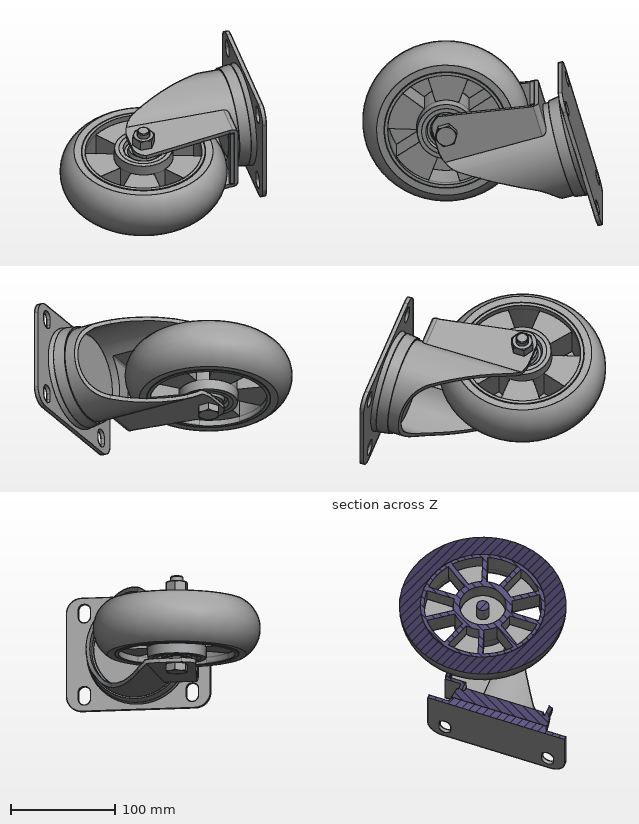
import cadquery as cq
import math


PLATE_LENGTH = 140.0
PLATE_WIDTH = 110.0
PLATE_THICKNESS = 4.0
PLATE_CORNER_RADIUS = 15.0
SLOT_SPACING_X = 105.0
SLOT_SPACING_Z = 80.0
SLOT_WIDTH = 12.0
SLOT_LENGTH = 18.0
FLARE_END_DEPTH = 9.2
FLARE_BASE_RADIUS = 50.1
FLARE_END_RADIUS = 47.8

WHEEL_RADIUS = 79.97
WHEEL_OFFSET = 208 - PLATE_LENGTH / 2 - WHEEL_RADIUS
AXLE_DEPTH = 199.0 - WHEEL_RADIUS
TYRE_HALF_WIDTH = 25.0
TYRE_CROWN_RADIUS = 30.0

RIM_RADIUS = 119.0 / 2
RIM_CHAMFER = 0.52
RIM_INNER_RADIUS = 56.0
HUB_FACE_RADIUS = 27.7
HUB_BASE_RADIUS = 28.5
HUB_HALF_WIDTH = 29.0
WEB_HALF_WIDTH = 19.0
WEB_WALL = 5.0
POCKETS_PER_SIDE = 5
POCKET_PITCH = 360 / POCKETS_PER_SIDE
FIRST_POCKET_ANGLE = 18
HUB_BORE_DIAMETER = 44.0

BEARING_DIAMETER = 47.0
BEARING_WIDTH = 14.0
GROOVE_DEPTH = 4.0
GROOVE_OUTER_FACE_RADIUS = 38.9 / 2
GROOVE_OUTER_FLOOR_RADIUS = 36.2 / 2
GROOVE_INNER_FACE_RADIUS = 28.0 / 2
GROOVE_INNER_FLOOR_RADIUS = 30.8 / 2
COLLAR_DIAMETER = 21.0

SHEET = 4.0
LEG_INNER_Z = 31.0
LEG_OUTER_Z = LEG_INNER_Z + SHEET
CUP_RADIUS = 46.2
CUP_INNER_RADIUS = CUP_RADIUS - SHEET
HEAD_TOP_RADIUS = 49.3
HEAD_END_RADIUS = 47.6
HEAD_END_DEPTH = 20.2
WEB_TOP_DEPTH = 26.0
WEB_UNDERSIDE_DEPTH = WEB_TOP_DEPTH + SHEET
OUTER_BEND_RADIUS = 5.5
INNER_BEND_RADIUS = OUTER_BEND_RADIUS - SHEET
BOSS_DIAMETER = 80.0
BOSS_END_DEPTH = 23.3
WEB_END_X = 62.0
LIP_END_X = 63.0
LIP_END_DEPTH = 34.1
BACK_TOP_DEPTH = 30.5
SLOPE_TOP = (-17.5, -53.9)
SLOPE_ANGLE = 60
SLOPE_LENGTH = 73.8
LEG_BOTTOM_DEPTH = AXLE_DEPTH + 12.3
LEG_BOTTOM_END_X = 64.9
LEG_TIP = (77.0, -121.3)
LEG_TIP_MID = (73.0, -127.3)

BOLT_DIAMETER = 12.0
BOLT_TIP_DIAMETER = 10.2
BOLT_END_Z = 50.5
HEX_ACROSS_FLATS = 19.0
HEX_CHAMFER_ANGLE = 30
NUT_HEIGHT = 10.0
BOLT_HEAD_HEIGHT = 7.5


def disc_along_z(radius, z_start, z_end):
    """Cylinder on the wheel axle between two Z levels."""
    base = cq.Workplane("XY").workplane(offset=z_start).center(WHEEL_OFFSET, -AXLE_DEPTH)
    return base.circle(radius).extrude(z_end - z_start)


def turned_on_axle(half_section):
    """Revolve an (r, z) half section, drawn in the XZ plane, about the wheel axle."""
    return half_section.revolve(360, (0, 0, 0), (0, 1, 0)).translate((WHEEL_OFFSET, -AXLE_DEPTH, 0))


def make_plate():
    plate = (
        cq.Workplane("XZ")
        .rect(PLATE_LENGTH, PLATE_WIDTH)
        .extrude(PLATE_THICKNESS)
        .edges("|Y")
        .fillet(PLATE_CORNER_RADIUS)
    )
    slots = (
        cq.Workplane("XZ")
        .rect(SLOT_SPACING_X, SLOT_SPACING_Z, forConstruction=True)
        .vertices()
        .slot2D(SLOT_LENGTH, SLOT_WIDTH, 90)
        .extrude(PLATE_THICKNESS)
    )
    flare = (
        cq.Workplane("XY")
        .moveTo(0, -PLATE_THICKNESS)
        .lineTo(FLARE_BASE_RADIUS, -PLATE_THICKNESS)
        .lineTo(FLARE_END_RADIUS, -FLARE_END_DEPTH)
        .lineTo(0, -FLARE_END_DEPTH)
        .close()
        .revolve(360, (0, 0, 0), (0, 1, 0))
    )
    return plate.cut(slots).union(flare)


def fork_side_outline():
    """Side outline of cup and legs in the XY plane, extruded over the whole width."""
    slope_run = SLOPE_LENGTH * math.cos(math.radians(SLOPE_ANGLE))
    slope_drop = SLOPE_LENGTH * math.sin(math.radians(SLOPE_ANGLE))
    slope_end = (SLOPE_TOP[0] + slope_run, SLOPE_TOP[1] - slope_drop)
    heel_height = LEG_BOTTOM_DEPTH + slope_end[1]
    heel_start_x = slope_end[0] + heel_height / math.tan(math.radians(SLOPE_ANGLE / 2))
    return (
        cq.Workplane("XY")
        .moveTo(LEG_BOTTOM_END_X, -LEG_BOTTOM_DEPTH)
        .lineTo(heel_start_x, -LEG_BOTTOM_DEPTH)
        .tangentArcPoint(slope_end, relative=False)
        .lineTo(*SLOPE_TOP)
        .tangentArcPoint((-CUP_RADIUS, -BACK_TOP_DEPTH), relative=False)
        .lineTo(-CUP_RADIUS, -HEAD_END_DEPTH)
        .lineTo(WEB_END_X, -HEAD_END_DEPTH)
        .lineTo(WEB_END_X, -LIP_END_DEPTH)
        .lineTo(*LEG_TIP)
        .threePointArc(LEG_TIP_MID, (LEG_BOTTOM_END_X, -LEG_BOTTOM_DEPTH))
        .close()
        .extrude(CUP_RADIUS, both=True)
    )


def fork_section(cup_radius, half_width, top_depth):
    """Round back and straight legs, from a top level down past the leg ends."""
    length = LEG_BOTTOM_DEPTH + 2 - top_depth
    top = cq.Workplane("XZ").workplane(offset=top_depth)
    cup = top.circle(cup_radius).extrude(length)
    legs = top.center(LEG_TIP[0] / 2, 0).rect(LEG_TIP[0] + 4.2, 2 * half_width).extrude(length)
    return cup, legs


def make_fork():
    _, legs = fork_section(CUP_RADIUS, LEG_OUTER_Z, WEB_TOP_DEPTH)
    cup, _ = fork_section(CUP_RADIUS, LEG_OUTER_Z, HEAD_END_DEPTH)
    bent_legs = legs.faces(">Y").edges("|X").fillet(OUTER_BEND_RADIUS)
    inner_cup, _ = fork_section(CUP_INNER_RADIUS, LEG_INNER_Z, HEAD_END_DEPTH)
    _, inner_legs = fork_section(CUP_INNER_RADIUS, LEG_INNER_Z, WEB_UNDERSIDE_DEPTH)
    bent_gap = inner_legs.faces(">Y").edges("|X").fillet(INNER_BEND_RADIUS)
    body = cup.union(bent_legs).intersect(fork_side_outline()).cut(inner_cup).cut(bent_gap)

    head = (
        cq.Workplane("XY")
        .moveTo(0, -FLARE_END_DEPTH)
        .lineTo(HEAD_TOP_RADIUS, -FLARE_END_DEPTH)
        .lineTo(HEAD_END_RADIUS, -HEAD_END_DEPTH)
        .lineTo(0, -HEAD_END_DEPTH)
        .close()
        .revolve(360, (0, 0, 0), (0, 1, 0))
    )
    boss = cq.Workplane("XZ").workplane(offset=HEAD_END_DEPTH)
    boss = boss.circle(BOSS_DIAMETER / 2).extrude(BOSS_END_DEPTH - HEAD_END_DEPTH)
    lip_height = LIP_END_DEPTH - WEB_UNDERSIDE_DEPTH
    lip = cq.Workplane("XY").box(SHEET, lip_height, 2 * LEG_INNER_Z)
    lip = lip.translate((LIP_END_X - SHEET / 2, -WEB_UNDERSIDE_DEPTH - lip_height / 2, 0))

    axle_hole = disc_along_z(BOLT_DIAMETER / 2, -LEG_OUTER_Z, LEG_OUTER_Z)
    return body.union(head).union(boss).union(lip).cut(axle_hole)


def make_tyre():
    edge_drop = TYRE_CROWN_RADIUS - math.sqrt(TYRE_CROWN_RADIUS**2 - TYRE_HALF_WIDTH**2)
    edge_radius = WHEEL_RADIUS - edge_drop
    section = (
        cq.Workplane("XZ")
        .moveTo(RIM_RADIUS, -TYRE_HALF_WIDTH)
        .lineTo(edge_radius, -TYRE_HALF_WIDTH)
        .threePointArc((WHEEL_RADIUS, 0), (edge_radius, TYRE_HALF_WIDTH))
        .lineTo(RIM_RADIUS, TYRE_HALF_WIDTH)
        .close()
    )
    return turned_on_axle(section)


def web_pocket(mid_angle):
    """Sector pocket open to +Z, leaving half a web wall along each of its radial sides."""
    half_angle = math.radians(POCKET_PITCH / 4)
    apex = WEB_WALL / 2 / math.sin(half_angle)
    reach = RIM_INNER_RADIUS * 2
    half_opening = (reach - apex) * math.tan(half_angle)
    floor = cq.Workplane("XY").workplane(offset=WEB_WALL - WEB_HALF_WIDTH)
    wedge = (
        floor.polyline([(apex, 0), (reach, -half_opening), (reach, half_opening)])
        .close()
        .extrude(2 * WEB_HALF_WIDTH)
        .rotate((0, 0, 0), (0, 0, 1), mid_angle)
    )
    ring = floor.circle(RIM_INNER_RADIUS).circle(HUB_BASE_RADIUS).extrude(2 * WEB_HALF_WIDTH)
    return wedge.intersect(ring).translate((WHEEL_OFFSET, -AXLE_DEPTH, 0))


def make_core():
    section = (
        cq.Workplane("XZ")
        .moveTo(0, 0)
        .lineTo(RIM_RADIUS, 0)
        .lineTo(RIM_RADIUS, TYRE_HALF_WIDTH - RIM_CHAMFER)
        .lineTo(RIM_RADIUS - RIM_CHAMFER, TYRE_HALF_WIDTH)
        .lineTo(RIM_INNER_RADIUS, TYRE_HALF_WIDTH)
        .lineTo(RIM_INNER_RADIUS, WEB_HALF_WIDTH)
        .lineTo(HUB_BASE_RADIUS, WEB_HALF_WIDTH)
        .lineTo(HUB_FACE_RADIUS, HUB_HALF_WIDTH)
        .lineTo(0, HUB_HALF_WIDTH)
        .close()
    )
    upper_half = turned_on_axle(section)
    core = upper_half.union(upper_half.mirror("XY"))

    for i in range(POCKETS_PER_SIDE):
        upper_angle = FIRST_POCKET_ANGLE + i * POCKET_PITCH
        core = core.cut(web_pocket(upper_angle))
        core = core.cut(web_pocket(upper_angle + POCKET_PITCH / 2).mirror("XY"))

    core = core.cut(disc_along_z(HUB_BORE_DIAMETER / 2, -HUB_HALF_WIDTH, HUB_HALF_WIDTH))
    seat_floor = HUB_HALF_WIDTH - BEARING_WIDTH
    for z_start, z_end in ((seat_floor, HUB_HALF_WIDTH), (-HUB_HALF_WIDTH, -seat_floor)):
        core = core.cut(disc_along_z(BEARING_DIAMETER / 2, z_start, z_end))
    return core


def make_bearing(side):
    """Bearing flush with one hub face, its inner ring reaching out to the fork leg."""
    groove_z = HUB_HALF_WIDTH - GROOVE_DEPTH
    section = (
        cq.Workplane("XZ")
        .moveTo(BOLT_DIAMETER / 2, HUB_HALF_WIDTH - BEARING_WIDTH)
        .lineTo(BEARING_DIAMETER / 2, HUB_HALF_WIDTH - BEARING_WIDTH)
        .lineTo(BEARING_DIAMETER / 2, HUB_HALF_WIDTH)
        .lineTo(GROOVE_OUTER_FACE_RADIUS, HUB_HALF_WIDTH)
        .lineTo(GROOVE_OUTER_FLOOR_RADIUS, groove_z)
        .lineTo(GROOVE_INNER_FLOOR_RADIUS, groove_z)
        .lineTo(GROOVE_INNER_FACE_RADIUS, HUB_HALF_WIDTH)
        .lineTo(COLLAR_DIAMETER / 2, HUB_HALF_WIDTH)
        .lineTo(COLLAR_DIAMETER / 2, LEG_INNER_Z)
        .lineTo(BOLT_DIAMETER / 2, LEG_INNER_Z)
        .close()
    )
    bearing = turned_on_axle(section)
    if side < 0:
        bearing = bearing.mirror("XY")
    return bearing


def hexagon(height):
    """Hexagon standing on a fork leg, corners toward +Y and -Y, outer rim chamfered."""
    across_corners = HEX_ACROSS_FLATS / math.cos(math.pi / 6)
    prism = (
        cq.Workplane("XY").polygon(6, across_corners).extrude(height).rotate((0, 0, 0), (0, 0, 1), 30)
    )
    rim_drop = (across_corners - HEX_ACROSS_FLATS) / 2 * math.tan(math.radians(HEX_CHAMFER_ANGLE))
    envelope = (
        cq.Workplane("XZ")
        .moveTo(0, 0)
        .lineTo(across_corners / 2, 0)
        .lineTo(across_corners / 2, height - rim_drop)
        .lineTo(HEX_ACROSS_FLATS / 2, height)
        .lineTo(0, height)
        .close()
        .revolve(360, (0, 0, 0), (0, 1, 0))
    )
    return prism.intersect(envelope).translate((WHEEL_OFFSET, -AXLE_DEPTH, LEG_OUTER_Z))


def make_bolt():
    shank = disc_along_z(BOLT_DIAMETER / 2, -LEG_OUTER_Z, BOLT_END_Z)
    shank = shank.faces(">Z").chamfer((BOLT_DIAMETER - BOLT_TIP_DIAMETER) / 2)
    return shank.union(hexagon(BOLT_HEAD_HEIGHT).mirror("XY"))


def make_nut():
    bore = disc_along_z(BOLT_DIAMETER / 2, LEG_OUTER_Z, LEG_OUTER_Z + NUT_HEIGHT)
    return hexagon(NUT_HEIGHT).cut(bore)


plate = make_plate()
fork = make_fork()
tyre = make_tyre()
core = make_core()
bearings = [make_bearing(side) for side in (1, -1)]
bolt = make_bolt()
nut = make_nut()

result = cq.Compound.makeCompound(
    [
        plate.val(),
        fork.val(),
        tyre.val(),
        core.val(),
        *[bearing.val() for bearing in bearings],
        bolt.val(),
        nut.val(),
    ]
)